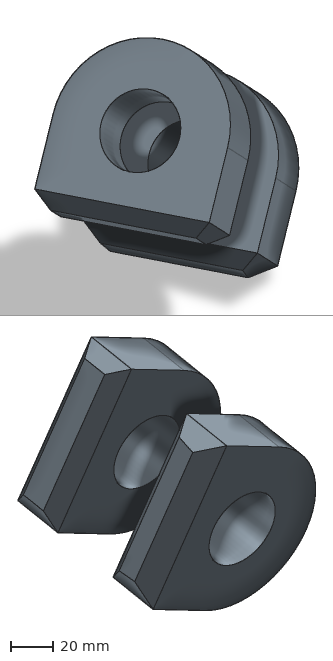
import cadquery as cq
import math

width = 90.0
thickness = 30.0
straight_length = 36.8
hole_radius = 20.2
lug_spacing = 71.1

front_lug_foot_heights = (7.5, 7.5)
rear_lug_foot_heights = (8.3, 9.5)

pitch = math.radians(40.9)
roll = math.radians(7.1)

outer_radius = width / 2

tipped_normal = cq.Vector(0, -math.sin(pitch), math.cos(pitch))
across = cq.Vector(math.cos(roll), 0, 0) + tipped_normal * math.sin(roll)
normal = tipped_normal * math.cos(roll) - cq.Vector(math.sin(roll), 0, 0)
lug_plane = cq.Plane(origin=(0, 0, 0), xDir=across, normal=normal)


def make_plate():
    """D-shaped plate with its front face at local z = 0 and the hole at the origin."""
    return (
        cq.Workplane("XY")
        .moveTo(-outer_radius, -straight_length)
        .lineTo(outer_radius, -straight_length)
        .lineTo(outer_radius, 0)
        .threePointArc((0, outer_radius), (-outer_radius, 0))
        .close()
        .extrude(-thickness)
    )


def make_foot(front_height, rear_height):
    """Foot with 45-degree flanks, the overlap of a side profile and a face profile."""
    side_profile = (
        cq.Workplane("YZ", origin=(-outer_radius, 0, 0))
        .moveTo(-straight_length, 0)
        .lineTo(-straight_length - front_height, -front_height)
        .lineTo(-straight_length - rear_height, -thickness + rear_height)
        .lineTo(-straight_length, -thickness)
        .close()
        .extrude(width)
    )
    tallest = max(front_height, rear_height)
    face_profile = (
        cq.Workplane("XY")
        .moveTo(-outer_radius, -straight_length)
        .lineTo(-outer_radius + tallest, -straight_length - tallest)
        .lineTo(outer_radius - tallest, -straight_length - tallest)
        .lineTo(outer_radius, -straight_length)
        .close()
        .extrude(-thickness)
    )
    return side_profile.intersect(face_profile)


def make_lug(depth, foot_heights):
    """Complete lug, set back along the hole axis by the given depth."""
    hole = cq.Workplane("XY").circle(hole_radius).extrude(-thickness)
    lug = make_plate().union(make_foot(*foot_heights)).cut(hole)
    return lug.val().moved(cq.Location((0, 0, -depth))).moved(cq.Location(lug_plane))


front_lug = make_lug(0, front_lug_foot_heights)
rear_lug = make_lug(lug_spacing, rear_lug_foot_heights)

result = cq.Compound.makeCompound([front_lug, rear_lug])